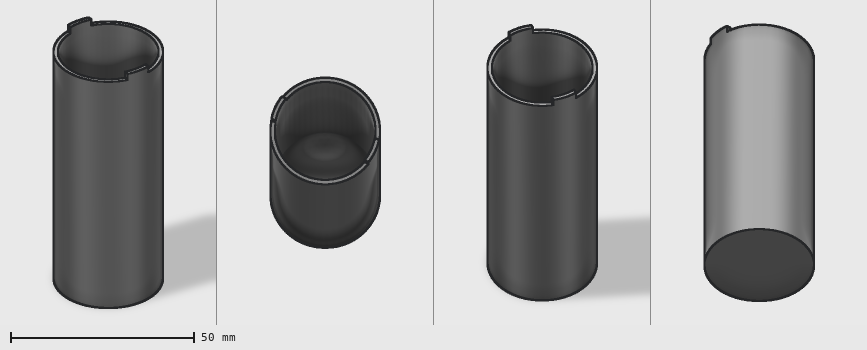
import cadquery as cq
import math

outer_diameter = 30.0
inner_diameter = 27.5
total_height = 76.0
tab_height = 2.0
tab_width = 6.85

outer_radius = outer_diameter / 2
inner_radius = inner_diameter / 2
floor_thickness = outer_radius - inner_radius
rim_height = total_height - tab_height
bowl_center_height = floor_thickness + inner_radius


def make_cup():
    """Flat-bottomed tube, up to the tab tops, whose bore ends in a hemispherical bowl."""
    bowl_reach = inner_radius * math.sqrt(0.5)
    return (
        cq.Workplane("XZ")
        .moveTo(0, 0)
        .lineTo(outer_radius, 0)
        .lineTo(outer_radius, total_height)
        .lineTo(inner_radius, total_height)
        .lineTo(inner_radius, bowl_center_height)
        .threePointArc((bowl_reach, bowl_center_height - bowl_reach), (0, floor_thickness))
        .close()
        .revolve(360, (0, 0, 0), (0, 1, 0))
    )


def make_rim_cutter(side):
    """Block that lowers the rim on one Y side, leaving a tab at each end of the X axis."""
    return (
        cq.Workplane("XY")
        .workplane(offset=rim_height)
        .center(0, side * (tab_width / 2 + outer_radius / 2))
        .rect(2 * outer_diameter, outer_radius)
        .extrude(2 * tab_height)
    )


result = make_cup()
for side in (-1, 1):
    result = result.cut(make_rim_cutter(side))